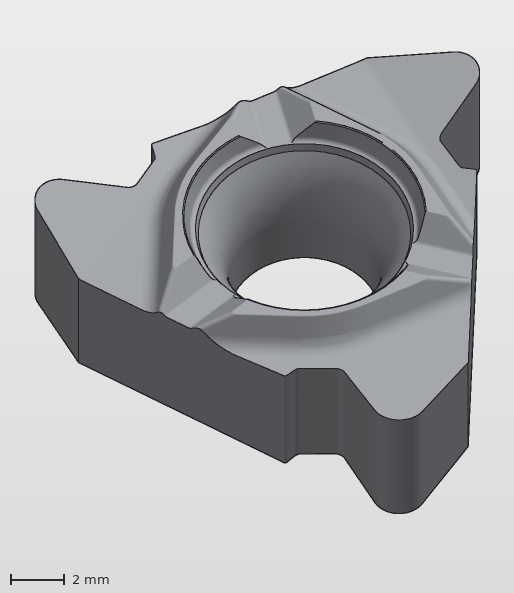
import cadquery as cq
import math

REPEATS = 3
STEP = 360 / REPEATS

total_height = 6.05
seat_height = 4.98
flank_distance = 6.33
reach = 12.45
tolerance = 0.002

tooth_apex_x = -3.82
tooth_apex_y = 10.34
tooth_half_angle = 30.0
tooth_tip_radius = 1.03
tooth_face_angle = 10.0
tooth_bend_y = 5.87
tooth_bend_length = 0.18

notch_floor_start_y = 6.51
notch_floor_end = (0.04, 6.58)
notch_lip_x = 0.46
notch_root_radius = 0.43
notch_step_radius = 0.27
notch_lip_radius = 0.09

boss_top_distance = 4.84
boss_wall_angle = 56.0
boss_foot_radius = 0.76
boss_round_angle = 30.0
boss_edge_radius = 0.05

channel_direction = 45.6
channel_floor_height = 5.27
channel_floor_width = 1.03
channel_top_width = 2.95
channel_root_radius = 0.21
channel_edge_radius = 0.18
arm_edge_distance = 5.34
channel_start = 2.67

hole_radius = 2.85
bowl_radius = 3.97
bowl_top = 4.98
bowl_curve_radius = 3.91
rim_radius = 4.07
recess_foot_radius = 4.23
recess_top_radius = 4.52
recess_blend_radius = 0.21


def turned(shape, index):
    return shape.rotate((0, 0, 0), (0, 0, 1), index * STEP)


def repeated(shape):
    whole = shape
    for index in range(1, REPEATS):
        whole = whole.union(turned(shape, index))
    return whole


def turned_point(point, degrees):
    c = math.cos(math.radians(degrees))
    s = math.sin(math.radians(degrees))
    return (point[0] * c - point[1] * s, point[0] * s + point[1] * c)


flank_slope = 1 / math.tan(math.radians(tooth_half_angle))
tooth_root = (-flank_distance, tooth_apex_y - (tooth_apex_x + flank_distance) * flank_slope)
tooth_apex = (tooth_apex_x, tooth_apex_y)
notch_root = (tooth_apex_x + (tooth_apex_y - notch_floor_start_y) / flank_slope, notch_floor_start_y)
lip_face = math.radians(180 - STEP)
notch_lip = (notch_lip_x, (flank_distance - notch_lip_x * math.cos(lip_face)) / math.sin(lip_face))
third = [tooth_root, tooth_apex, notch_root, notch_floor_end, notch_lip]


def make_outline_prism():
    points = []
    for index in range(REPEATS):
        points += [turned_point(p, -index * STEP) for p in third]
    prism = cq.Workplane("XY").polyline(points).close().extrude(total_height)
    rounds = [
        (tooth_apex, tooth_tip_radius),
        (notch_root, notch_root_radius),
        (notch_floor_end, notch_step_radius),
        (notch_lip, notch_lip_radius),
    ]
    for corner, radius in rounds:
        for index in range(REPEATS):
            x, y = turned_point(corner, -index * STEP)
            nearest = cq.selectors.NearestToPointSelector((x, y, total_height / 2))
            prism = prism.edges("|Z").edges(nearest).fillet(radius)
    return prism


def make_sector():
    side = 2 * reach
    start = turned_point((side, 0), channel_direction)
    middle = turned_point((side, 0), channel_direction + STEP / 2)
    end = turned_point((side, 0), channel_direction + STEP)
    return cq.Workplane("XY").polyline([(0, 0), start, middle, end]).close().extrude(total_height)


def make_seat():
    rise = math.tan(math.radians(tooth_face_angle))
    bend_start = tooth_bend_y - tooth_bend_length / 2
    bend_end = tooth_bend_y + tooth_bend_length / 2
    profile = (
        cq.Workplane("YZ", origin=(-reach, 0, 0))
        .moveTo(-reach, 0)
        .lineTo(-reach, seat_height)
        .lineTo(bend_start, seat_height)
        .tangentArcPoint((bend_end, seat_height + rise * tooth_bend_length / 2), relative=False)
        .lineTo(reach, seat_height + rise * (reach - tooth_bend_y))
        .lineTo(reach, 0)
        .close()
    )
    return profile.extrude(2 * reach)


def concave_round(corner_r, floor_z, wall_angle, radius, floor_side):
    tangent = radius * math.tan(wall_angle / 2)
    floor_r = corner_r + floor_side * tangent
    floor_end = (floor_r, floor_z)
    middle = (
        floor_r - floor_side * radius * math.sin(wall_angle / 2),
        floor_z + radius * (1 - math.cos(wall_angle / 2)),
    )
    wall_end = (
        floor_r - floor_side * radius * math.sin(wall_angle),
        floor_z + radius * (1 - math.cos(wall_angle)),
    )
    return floor_end, middle, wall_end


def make_boss_third():
    wall = math.radians(boss_wall_angle)
    foot_corner = boss_top_distance + (total_height - seat_height) / math.tan(wall)
    foot_end, foot_middle, foot_start = concave_round(foot_corner, seat_height, wall, boss_foot_radius, 1)

    def section(workplane):
        return (
            workplane.lineTo(foot_end[0], 0)
            .lineTo(*foot_end)
            .threePointArc(foot_middle, foot_start)
            .lineTo(boss_top_distance, total_height)
            .lineTo(0, total_height)
            .close()
        )

    straight = section(cq.Workplane("YZ")).extrude(reach)
    other = section(cq.Workplane("YZ")).extrude(-reach)
    other = other.rotate((0, 0, 0), (0, 0, 1), boss_round_angle)
    cone = section(cq.Workplane("YZ")).revolve(boss_round_angle, (0, 0), (0, 1))
    return straight.union(cone).union(other)


def make_channel():
    half_floor = channel_floor_width / 2
    half_top = channel_top_width / 2
    tool = (
        cq.Workplane("YZ", origin=(channel_start, 0, 0))
        .polyline([
            (-half_floor, channel_floor_height),
            (half_floor, channel_floor_height),
            (half_top, total_height),
            (-half_top, total_height),
        ])
        .close()
        .extrude(reach)
    )
    tool = tool.edges("|X").edges("<Z").fillet(channel_root_radius)
    return tool.rotate((0, 0, 0), (0, 0, 1), channel_direction)


def make_hole():
    center_r = hole_radius + bowl_curve_radius
    drop = math.sqrt(bowl_curve_radius**2 - (center_r - bowl_radius) ** 2)
    center_z = bowl_top - drop
    half = math.asin(drop / bowl_curve_radius) / 2
    middle = (
        center_r - bowl_curve_radius * math.cos(half),
        center_z + bowl_curve_radius * math.sin(half),
    )
    wall = math.atan2(total_height - channel_floor_height, recess_top_radius - recess_foot_radius)
    blend_start, blend_middle, blend_end = concave_round(
        recess_foot_radius, channel_floor_height, wall, recess_blend_radius, -1
    )
    return (
        cq.Workplane("XZ")
        .lineTo(hole_radius, 0)
        .lineTo(hole_radius, center_z)
        .threePointArc(middle, (bowl_radius, bowl_top))
        .lineTo(rim_radius, channel_floor_height)
        .lineTo(*blend_start)
        .threePointArc(blend_middle, blend_end)
        .lineTo(recess_top_radius, total_height)
        .lineTo(0, total_height)
        .close()
        .revolve(360, (0, 0), (0, 1))
    )


def is_arm_edge(edge):
    box = edge.BoundingBox()
    distance = math.hypot(edge.Center().x, edge.Center().y)
    reaches_top = box.zmax > total_height - tolerance
    slanted = box.zmin < total_height - boss_edge_radius
    return distance > arm_edge_distance and reaches_top and slanted


sector = make_sector()
boss = repeated(make_boss_third().intersect(sector))
for i in range(REPEATS):
    boss = boss.cut(turned(make_channel(), i))
seat = repeated(make_seat().intersect(sector))
body = seat.union(boss).intersect(make_outline_prism())
body = body.cut(make_hole())

arm_edges = [edge for edge in body.edges().vals() if is_arm_edge(edge)]
body = body.newObject(arm_edges).fillet(channel_edge_radius)
result = body.faces(">Z").edges().fillet(boss_edge_radius)